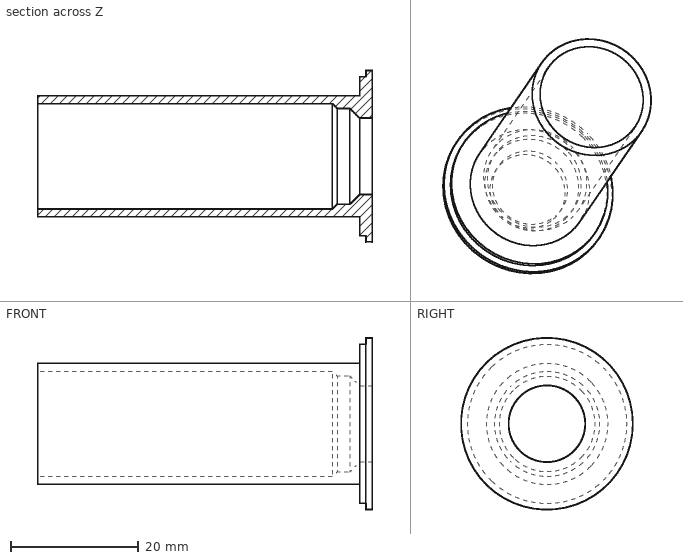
import cadquery as cq

total_length = 52.5
tube_diameter = 19.05

rim_diameter = 27.0
rim_thickness = 1.0
shoulder_diameter = 25.0
shoulder_thickness = 1.0
flange_thickness = rim_thickness + shoulder_thickness

bore_diameter = 16.5
land_diameter = 15.0
land_length = 2.0
outlet_diameter = 12.0
outlet_length = flange_thickness


def cylinder(diameter, start, length):
    """Round solid along X that begins at X = start."""
    return cq.Workplane("YZ", origin=(start, 0, 0)).circle(diameter / 2).extrude(length)


def make_body():
    """Tube carrying the shoulder and the rim of the flange."""
    shoulder_start = total_length - flange_thickness
    rim_start = total_length - rim_thickness
    tube = cylinder(tube_diameter, 0, total_length)
    shoulder = cylinder(shoulder_diameter, shoulder_start, shoulder_thickness)
    rim = cylinder(rim_diameter, rim_start, rim_thickness)
    return tube.union(shoulder).union(rim)


def make_bore():
    """Bore, entry cone, land, second cone and outlet as one revolved cutter."""
    bore_radius = bore_diameter / 2
    land_radius = land_diameter / 2
    outlet_radius = outlet_diameter / 2

    outlet_start = total_length - outlet_length
    land_end = outlet_start - (land_radius - outlet_radius)
    land_start = land_end - land_length
    bore_end = land_start - (bore_radius - land_radius)

    half_profile = (
        cq.Workplane("XY")
        .moveTo(0, 0)
        .lineTo(0, bore_radius)
        .lineTo(bore_end, bore_radius)
        .lineTo(land_start, land_radius)
        .lineTo(land_end, land_radius)
        .lineTo(outlet_start, outlet_radius)
        .lineTo(total_length, outlet_radius)
        .lineTo(total_length, 0)
        .close()
    )
    return half_profile.revolve(360, (0, 0, 0), (1, 0, 0))


result = make_body().cut(make_bore())